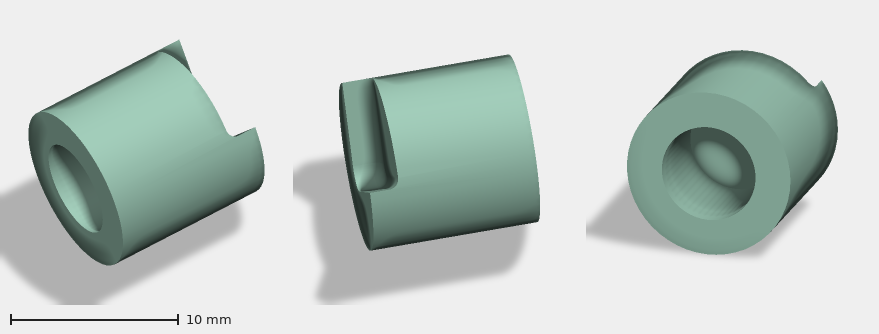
import cadquery as cq
import math

outer_diameter = 10.16
length = 10.16
front_bore_diameter = 5.82
front_bore_depth = 6.1
notch_angle = 72.0
notch_half_width = 4.07
notch_length = 1.8
root_radius = 1.16
fillet_radius = 0.62

front_y = -length / 2
rear_y = length / 2
outer_radius = outer_diameter / 2
notch_edge_height = math.sqrt(outer_radius**2 - notch_half_width**2)


def cylinder_along_y(diameter, start_y, depth):
    """Cylinder on the part axis, extending from start_y towards +Y."""
    return (
        cq.Workplane("XZ", origin=(0, start_y, 0))
        .circle(diameter / 2)
        .extrude(-depth)
    )


def notch_cutter():
    """V-shaped block with a rounded root and a filleted inner end."""
    rise = notch_half_width / math.tan(math.radians(notch_angle / 2))
    root_z = notch_edge_height - rise
    scale = (outer_radius - root_z) / rise
    top_half_width = notch_half_width * scale
    wedge = (
        cq.Workplane("XZ", origin=(0, rear_y, 0))
        .moveTo(0, root_z)
        .lineTo(top_half_width, outer_radius)
        .lineTo(-top_half_width, outer_radius)
        .close()
        .extrude(notch_length)
    )
    rounded = wedge.edges("|Y and <Z").fillet(root_radius)
    return rounded.faces("<Y").edges("not >Z").fillet(fillet_radius)


body = cylinder_along_y(outer_diameter, front_y, length)

front_bore = cylinder_along_y(front_bore_diameter, front_y, front_bore_depth)

result = body.cut(front_bore).cut(notch_cutter())